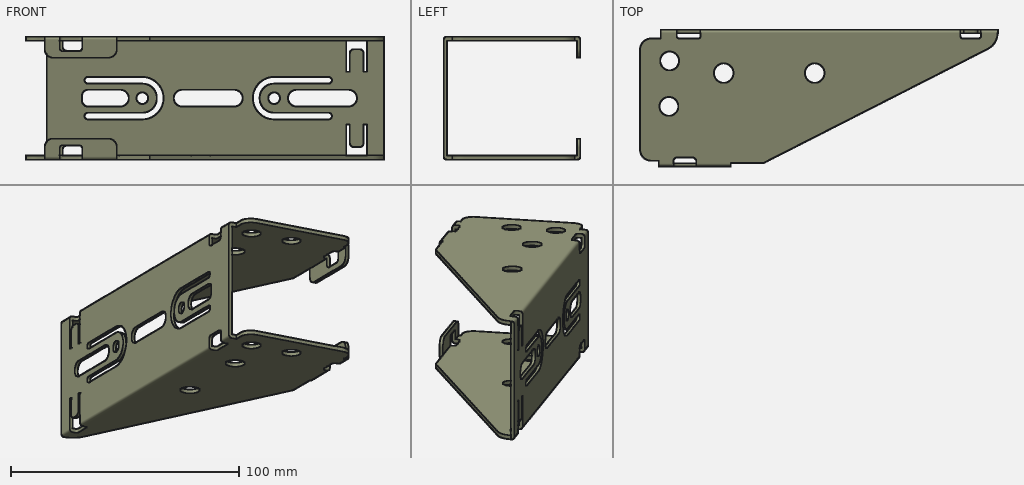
import cadquery as cq

length = 157.0
depth = 60.0
height = 54.0
mid_z = height / 2

web_thickness = 1.5
flange_thickness = 1.9
bend_radius = 1.4
web_inner_y = depth - web_thickness

web_start_x = 9.1

flange_tip_x = 156.8
back_step_y = depth - 3.8
front_step_y = 2.5
flange_corner_radius = 5.0
taper_start_x = 54.3
taper_end_x = 152.5
taper_end_y = 51.5

lip_start_x = 8.2
lip_end_x = 39.9
lip_thickness = web_thickness
lip_height = 9.3
lip_corner_radius = 3.8

window_corner_radius = 1.5
back_notch_radius = 1.0
lip_window_start_x = 14.8
lip_window_width = 9.9
lip_window_height = 6.5
lip_window_depth = 4.0
web_window_start_x = 16.2
web_window_width = 10.4
web_window_height = 6.1

tongue_window_start_x = 140.5
tongue_window_width = 9.0
tongue_slit_width = 1.4
tongue_slit_end = 15.4
tongue_tip = 5.5
tongue_corner_radius = 1.9

flange_holes = [
    (13.0, 46.3, 8.2),
    (12.7, 26.4, 8.2),
    (36.7, 41.0, 8.5),
    (76.6, 41.0, 8.5),
]

slot_height = 7.2
slot_length = 30.1
short_slot_length = 20.4
web_center_x = 79.9
short_slot_corner_radius = 2.5
short_slot_start_x = 24.6
far_slot_start_x = 115.0
pin_spacing = 57.8
pin_diameter = 5.0
groove_outer_radius = 9.3
groove_inner_radius = 6.5
groove_reach = 25.3


def block(x0, x1, y0, y1, z0, z1):
    """Axis-aligned box between two opposite corners."""
    return cq.Workplane("XY").box(x1 - x0, y1 - y0, z1 - z0, centered=False).translate((x0, y0, z0))


def behind_web(center_x, center_z):
    """Sketch plane behind the web, X right and Z up, extruding toward -Y."""
    return cq.Workplane("XZ", origin=(center_x, depth, center_z))


def mirrored_in_z(shape):
    """The shape together with its copy on the opposite flange."""
    return shape.union(shape.mirror("XY", (0, 0, mid_z)))


def make_flange():
    outline = (
        cq.Workplane("XY")
        .moveTo(0, front_step_y)
        .lineTo(lip_start_x, front_step_y)
        .lineTo(lip_start_x, 0)
        .lineTo(lip_end_x, 0)
        .lineTo(lip_end_x, lip_thickness)
        .lineTo(taper_start_x, lip_thickness)
        .lineTo(taper_end_x, taper_end_y)
        .tangentArcPoint((flange_tip_x, web_inner_y), relative=False)
        .lineTo(length, web_inner_y)
        .lineTo(length, depth)
        .lineTo(web_start_x, depth)
        .lineTo(web_start_x, back_step_y)
        .lineTo(0, back_step_y)
        .close()
    )
    flange = outline.extrude(flange_thickness)
    flange = flange.edges("|Z and <X").fillet(flange_corner_radius)
    for x, y, diameter in flange_holes:
        hole = cq.Workplane("XY").center(x, y).circle(diameter / 2).extrude(flange_thickness)
        flange = flange.cut(hole)
    return flange


def make_lip():
    lip = block(lip_start_x, lip_end_x, 0, lip_thickness, 0, lip_height)
    return lip.edges("|Y and >Z").fillet(lip_corner_radius)


def bend_window(start_x, width, edge_y, wall_y, flange_y, wall_z, flange_radius):
    """L-shaped cutter over a bend: rounded corners in the flange and in the upright wall."""
    end_x = start_x + width
    flange_near_y, flange_far_y = sorted((edge_y, flange_y))
    wall_near_y, wall_far_y = sorted((edge_y, wall_y))
    inner_side = ">Y" if flange_y > edge_y else "<Y"
    in_flange = block(start_x, end_x, flange_near_y, flange_far_y, 0, flange_thickness)
    in_flange = in_flange.edges("|Z and " + inner_side).fillet(flange_radius)
    in_wall = block(start_x, end_x, wall_near_y, wall_far_y, 0, wall_z)
    in_wall = in_wall.edges("|Y and >Z").fillet(window_corner_radius)
    return in_flange.union(in_wall)


def make_tongue_window():
    end_x = tongue_window_start_x + tongue_window_width
    in_flange = block(tongue_window_start_x, end_x, back_step_y, depth, 0, flange_thickness)
    in_flange = in_flange.edges("|Z and <Y").fillet(back_notch_radius)
    in_web = block(tongue_window_start_x, end_x, web_inner_y, depth, 0, tongue_slit_end)
    tongue = block(
        tongue_window_start_x + tongue_slit_width,
        end_x - tongue_slit_width,
        web_inner_y,
        depth,
        tongue_tip,
        tongue_slit_end,
    )
    tongue = tongue.edges("|Y and <Z").fillet(tongue_corner_radius)
    return in_flange.union(in_web.cut(tongue))


def make_slot(start_x):
    center_x = start_x + slot_length / 2
    return behind_web(center_x, mid_z).slot2D(slot_length, slot_height).extrude(web_thickness)


def make_short_slot():
    """Slot with a full round toward the pin hole and small corner radii at its outer end."""
    end_x = short_slot_start_x + short_slot_length - slot_height / 2
    bottom_z = mid_z - slot_height / 2
    slot = block(short_slot_start_x, end_x, web_inner_y, depth, bottom_z, bottom_z + slot_height)
    slot = slot.edges("|Y and <X").fillet(short_slot_corner_radius)
    round_end = behind_web(end_x, mid_z).circle(slot_height / 2).extrude(web_thickness)
    return slot.union(round_end)


def make_spring_tab(center_x, direction):
    """Pin hole inside a U-shaped groove whose arms run toward direction (-1 or +1) in X."""
    mean_radius = (groove_outer_radius + groove_inner_radius) / 2
    groove_width = groove_outer_radius - groove_inner_radius
    arm_end = direction * (groove_reach - groove_width / 2)
    ring = (
        behind_web(center_x, mid_z)
        .circle(groove_outer_radius)
        .circle(groove_inner_radius)
        .extrude(web_thickness)
    )
    x0, x1 = sorted((center_x, center_x + direction * groove_outer_radius))
    z0 = mid_z - groove_outer_radius
    z1 = mid_z + groove_outer_radius
    ring = ring.cut(block(x0, x1, web_inner_y, depth, z0, z1))
    cutter = ring.union(behind_web(center_x, mid_z).circle(pin_diameter / 2).extrude(web_thickness))
    x0, x1 = sorted((center_x, center_x + arm_end))
    for arm_z in (mid_z - mean_radius, mid_z + mean_radius):
        z0 = arm_z - groove_width / 2
        z1 = arm_z + groove_width / 2
        arm = block(x0, x1, web_inner_y, depth, z0, z1)
        arm_tip = behind_web(center_x + arm_end, arm_z).circle(groove_width / 2).extrude(web_thickness)
        cutter = cutter.union(arm).union(arm_tip)
    return cutter


def bend_envelope():
    """Full-length bar whose rounded long edges give the outside bend radii."""
    return block(0, length, 0, depth, 0, height).edges("|X").fillet(bend_radius)


web = block(web_start_x, length, web_inner_y, depth, 0, height)
bracket = web.union(mirrored_in_z(make_flange().union(make_lip())))
bracket = bracket.intersect(bend_envelope())

lip_window = bend_window(
    lip_window_start_x,
    lip_window_width,
    edge_y=0,
    wall_y=lip_thickness,
    flange_y=lip_window_depth,
    wall_z=lip_window_height,
    flange_radius=window_corner_radius,
)
web_window = bend_window(
    web_window_start_x,
    web_window_width,
    edge_y=depth,
    wall_y=web_inner_y,
    flange_y=back_step_y,
    wall_z=web_window_height,
    flange_radius=back_notch_radius,
)
for opening in (lip_window, web_window, make_tongue_window()):
    bracket = bracket.cut(mirrored_in_z(opening))

bracket = bracket.cut(make_short_slot())
for start_x in (web_center_x - slot_length / 2, far_slot_start_x):
    bracket = bracket.cut(make_slot(start_x))
for direction in (-1, 1):
    bracket = bracket.cut(make_spring_tab(web_center_x + direction * pin_spacing / 2, direction))

result = bracket